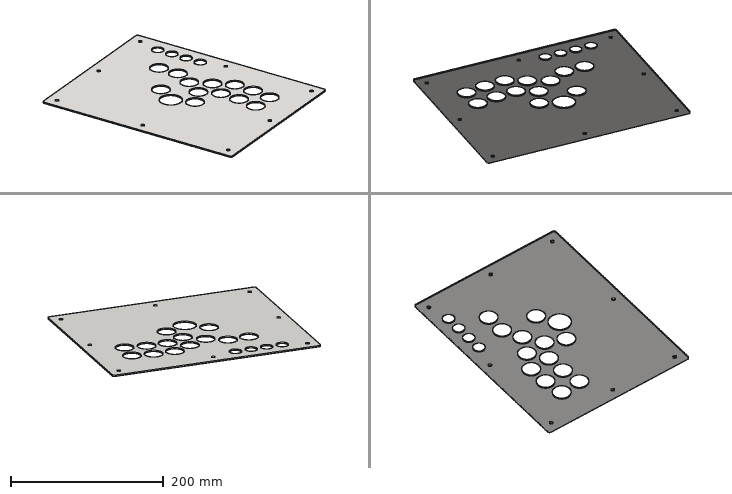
import cadquery as cq

length = 294.3
width = 230.0
thickness = 2.0
corner_radius = 3.0

screw_diameter = 4.7
screw_inset = 13.8

menu_diameter = 16.5
menu_count = 4
menu_pitch = 22.0
menu_first_x = -101.0
menu_y = 93.3

button_diameter = 24.7
direction_buttons = [(-71.2, 50.0), (-41.8, 50.0), (-15.5, 36.5)]
upper_action_buttons = [(12.0, 49.7), (38.5, 62.7), (68.0, 61.2), (96.8, 56.5)]
lower_action_buttons = [(9.7, 19.0), (36.5, 32.0), (65.5, 31.0), (94.8, 26.0)]
side_thumb_buttons = [(-35.5, -1.2), (21.8, -7.7)]

large_diameter = 30.5
large_button = (-8.5, -19.5)


def drill(plate, centers, diameter):
    """Cut round through holes at the given centres."""
    return plate.faces(">Z").workplane(origin=(0, 0, 0)).pushPoints(centers).hole(diameter)


plate = cq.Workplane("XY").box(length, width, thickness)
plate = plate.edges("|Z").fillet(corner_radius)

screw_x = length / 2 - screw_inset
screw_y = width / 2 - screw_inset
screw_centers = [
    (column * screw_x, row * screw_y)
    for column in (-1, 0, 1)
    for row in (-1, 0, 1)
    if (column, row) != (0, 0)
]
plate = drill(plate, screw_centers, screw_diameter)

menu_centers = [(menu_first_x + i * menu_pitch, menu_y) for i in range(menu_count)]
plate = drill(plate, menu_centers, menu_diameter)

for button_group in (direction_buttons, upper_action_buttons, lower_action_buttons, side_thumb_buttons):
    plate = drill(plate, button_group, button_diameter)

result = drill(plate, [large_button], large_diameter)